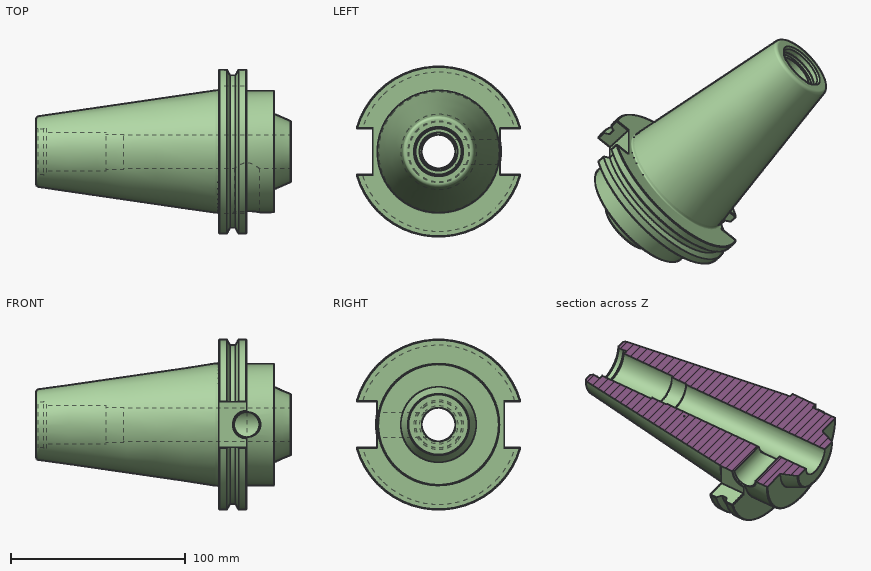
import cadquery as cq
import math

gauge_dia = 69.85
taper_length = 101.6
taper_ratio = 7 / 24
collar_dia = 70.2
collar_start_x = (collar_dia - gauge_dia) / taper_ratio
shank_end_x = -taper_length
shank_end_radius = gauge_dia / 2 - taper_length * taper_ratio / 2
shank_end_fillet = 2.0

flange_dia = 97.6
flange_start_x = 3.175
flange_width = 15.875
flange_end_x = flange_start_x + flange_width
flange_edge_chamfer = 0.4
flange_root_fillet = 0.8
groove_depth = 3.15
groove_floor_width = 3.1
groove_centre_x = 11.05
groove_half_angle = 30.0

nose_dia = 69.85
nose_end_x = 34.925
nose_chamfer = 0.5
cone_base_dia = 43.2
cone_tip_dia = 35.3
cone_chamfer = 0.5
total_end_x = 44.47

slot_width = 26.2
slot_floor_front = 35.3
slot_floor_back = 37.7

match_tolerance = 0.001

mouth_dia = 28.4
counterbore_dia = 26.2
mouth_chamfer_length = 1.1
relief_dia = 26.7
relief_start_depth = 4.2
counterbore_depth = 6.0
thread_bore_dia = 21.97
thread_bore_depth = 40.0
through_bore_dia = 19.05
step_bore_dia = 20.05
step_bore_depth = 50.0

screw_hole_dia = 14.35
screw_countersink_dia = 16.0
screw_hole_x = flange_end_x


def revolve_about_x(profile):
    return profile.close().revolve(360, (0, 0, 0), (1, 0, 0))


def make_shank():
    shank = revolve_about_x(
        cq.Workplane("XY")
        .moveTo(shank_end_x, 0)
        .lineTo(shank_end_x, shank_end_radius)
        .lineTo(collar_start_x, collar_dia / 2)
        .lineTo(flange_start_x, collar_dia / 2)
        .lineTo(flange_start_x, 0)
    )
    return shank.faces("<X").edges().fillet(shank_end_fillet)


def make_flange():
    radius = flange_dia / 2
    floor_half = groove_floor_width / 2
    mouth_half = floor_half + groove_depth * math.tan(math.radians(groove_half_angle))
    groove_floor_radius = radius - groove_depth
    return revolve_about_x(
        cq.Workplane("XY")
        .moveTo(flange_start_x, 0)
        .lineTo(flange_start_x, radius)
        .lineTo(groove_centre_x - mouth_half, radius)
        .lineTo(groove_centre_x - floor_half, groove_floor_radius)
        .lineTo(groove_centre_x + floor_half, groove_floor_radius)
        .lineTo(groove_centre_x + mouth_half, radius)
        .lineTo(flange_end_x, radius)
        .lineTo(flange_end_x, 0)
    )


def make_root_ring():
    """Concave ring blending the shank into the flange face."""
    shank_radius = collar_dia / 2
    reach = flange_root_fillet
    sag = reach * (1 - math.cos(math.radians(45)))
    return revolve_about_x(
        cq.Workplane("XY")
        .moveTo(flange_start_x - reach, shank_radius - reach)
        .lineTo(flange_start_x - reach, shank_radius)
        .threePointArc(
            (flange_start_x - sag, shank_radius + sag),
            (flange_start_x, shank_radius + reach),
        )
        .lineTo(flange_start_x, shank_radius - reach)
    )


def make_nose():
    return revolve_about_x(
        cq.Workplane("XY")
        .moveTo(flange_end_x, 0)
        .lineTo(flange_end_x, nose_dia / 2)
        .lineTo(nose_end_x - nose_chamfer, nose_dia / 2)
        .lineTo(nose_end_x, nose_dia / 2 - nose_chamfer)
        .lineTo(nose_end_x, cone_base_dia / 2)
        .lineTo(total_end_x - cone_chamfer, cone_tip_dia / 2)
        .lineTo(total_end_x, cone_tip_dia / 2 - cone_chamfer)
        .lineTo(total_end_x, 0)
    )


def make_drive_slot(side, floor):
    """Slot cutter on the +Y (side = 1) or -Y (side = -1) side of the flange."""
    slot_depth = flange_dia / 2 - floor
    slot_centre_y = side * (floor + slot_depth / 2)
    slot_centre_x = flange_start_x + flange_width / 2
    slot = cq.Workplane("XY").box(flange_width, slot_depth, slot_width)
    return slot.translate((slot_centre_x, slot_centre_y, 0))


def edge_is_sharp(edge):
    """True for the rim and slot wall edges of the flange faces and for the land ends at the slots."""
    centre = edge.Center()
    on_face = min(abs(centre.x - flange_start_x), abs(centre.x - flange_end_x)) < match_tolerance
    if edge.geomType() == "CIRCLE":
        return on_face
    if edge.geomType() != "LINE":
        return False
    direction = edge.tangentAt(0).toTuple()
    along_x, along_y, _ = (abs(component) > 1 - match_tolerance for component in direction)
    land_half_width = math.sqrt((flange_dia / 2) ** 2 - (slot_width / 2) ** 2)
    if along_x:
        return abs(abs(centre.y) - land_half_width) < match_tolerance
    return on_face and along_y


def chamfer_flange(flange):
    sharp_edges = [edge for edge in flange.edges().vals() if edge_is_sharp(edge)]
    return flange.newObject(sharp_edges).chamfer(flange_edge_chamfer)


def make_bore():
    counterbore_end_x = shank_end_x + counterbore_depth
    relief_start_x = shank_end_x + relief_start_depth
    thread_end_x = shank_end_x + thread_bore_depth
    step_end_x = shank_end_x + step_bore_depth
    return revolve_about_x(
        cq.Workplane("XY")
        .moveTo(shank_end_x, 0)
        .lineTo(shank_end_x, mouth_dia / 2)
        .lineTo(shank_end_x + mouth_chamfer_length, counterbore_dia / 2)
        .lineTo(relief_start_x, counterbore_dia / 2)
        .lineTo(relief_start_x, relief_dia / 2)
        .lineTo(counterbore_end_x, relief_dia / 2)
        .lineTo(counterbore_end_x, thread_bore_dia / 2)
        .lineTo(thread_end_x, thread_bore_dia / 2)
        .lineTo(thread_end_x, step_bore_dia / 2)
        .lineTo(step_end_x, step_bore_dia / 2)
        .lineTo(step_end_x, through_bore_dia / 2)
        .lineTo(total_end_x, through_bore_dia / 2)
        .lineTo(total_end_x, 0)
    )


def make_screw_hole():
    """Hole from the -Y side into the bore, countersunk at the nose surface."""
    hole_radius = screw_hole_dia / 2
    sink_radius = screw_countersink_dia / 2
    sink_start_y = nose_dia / 2 - (sink_radius - hole_radius)
    outer_y = flange_dia / 2
    hole = (
        cq.Workplane("XY")
        .moveTo(0, 0)
        .lineTo(hole_radius, 0)
        .lineTo(hole_radius, -sink_start_y)
        .lineTo(sink_radius, -nose_dia / 2)
        .lineTo(sink_radius, -outer_y)
        .lineTo(0, -outer_y)
        .close()
        .revolve(360, (0, 0, 0), (0, 1, 0))
    )
    return hole.translate((screw_hole_x, 0, 0))


flange = make_flange()
for side, floor in ((-1, slot_floor_front), (1, slot_floor_back)):
    flange = flange.cut(make_drive_slot(side, floor))
flange = chamfer_flange(flange)

result = make_shank().union(flange).union(make_root_ring()).union(make_nose())
result = result.cut(make_bore()).cut(make_screw_hole())